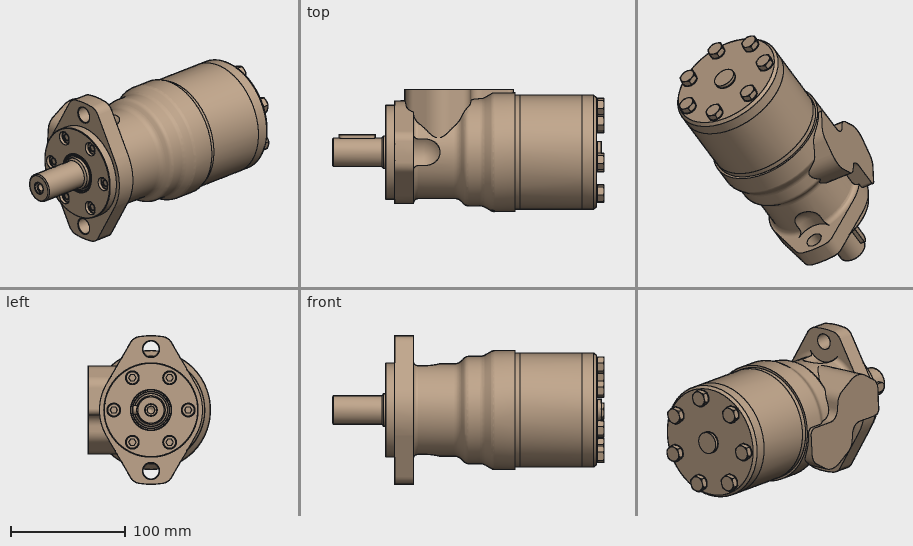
import cadquery as cq
import math


pilot_start = 46.5
flange_start = 54.4
flange_end = 70.8
neck_end = 106.8
housing_end = 159.6
plate_end = 164.0
gear_ring_end = 218.0
cover_end = 230.7
overall_length = 237.2

shaft_diameter = 25.0
shaft_tip_chamfer = 1.0
journal_diameter = 28.56
journal_cone_start = 43.2
journal_start = 44.6
shaft_end = flange_end
center_bore_diameter = 10.0
center_bore_chamfer = 0.5
center_bore_depth = 2.5
thread_hole_diameter = 6.65
thread_hole_depth = 20.0
drill_point_angle = 120.0
key_start = 5.6
key_length = 32.0
key_width = 8.0
key_height = 7.0
key_top = 15.5

pilot_diameter = 82.5
pilot_chamfer = 0.5
flange_radius = 45.0
flange_tip_radius = 65.0
flange_side_angle = 30.0
flange_corner_radius = 11.0
mount_hole_diameter = 14.0
mount_hole_chamfer = 0.5
mount_hole_offset = 53.2
bolt_clearance_radius = 18.5
bolt_clearance_end = 80.5

recess_diameter = 35.0
recess_chamfer = 0.5
recess_depth = 2.0
lip_outer_diameter = 32.6
lip_bore_diameter = 29.0
lip_height = 1.0
lip_chamfer = 0.4

front_screw_count = 6
front_screw_circle_radius = 32.5
screw_bore_diameter = 12.0
screw_head_sink = 2.5
screw_head_diameter = 10.5
screw_head_height = 1.0
socket_across_flats = 5.5
socket_depth = 0.8

neck_radius = 40.5
neck_fillet = 4.3
shoulder_radius = 47.0
shoulder_slope = 45.0
shoulder_flat_end = 129.2
barrel_radius = 52.0
barrel_slope = 30.0
valley_radius = 8.0
crest_radius = 6.0

port_face = 55.0
port_center_x = 110.55
lobe_center_x = 92.5
lobe_top = 38.5
lobe_top_radius = 20.0
lobe_roof_slope = 30.0
lobe_half_width = 29.6
flank_tilt = 4.3
ledge_height = 4.5
lobe_shoulder_radius = 12.0
ledge_fillet = 10.0
ledge_corner_radius = 5.0

gear_set_diameter = 100.0
cover_chamfer_length = 2.8
cover_chamfer_depth = 2.2
rear_bolt_count = 7
rear_bolt_circle_radius = 40.0
rear_bolt_start_angle = 50.0
bolt_across_flats = 13.0
bolt_washer_height = 0.9
bolt_hex_turn = -15.0
bolt_chamfer_angle = 30.0
plug_diameter = 19.0
plug_neck_diameter = 18.0
plug_neck_height = 0.9
plug_height = 4.2


def rod(diameter, start, end):
    """A cylinder on the shaft axis between two stations."""
    return cq.Workplane("YZ", origin=(start, 0, 0)).circle(diameter / 2).extrude(end - start)


def cone(start_radius, end_radius, start, end):
    """A full cone or cone frustum on the shaft axis."""
    profile = cq.Workplane("XY").moveTo(start, 0).lineTo(start, start_radius)
    if end_radius > 0:
        profile = profile.lineTo(end, end_radius)
    profile = profile.lineTo(end, 0).close()
    return profile.revolve(360, (0, 0, 0), (1, 0, 0))


def polar_spots(count, radius, start_angle):
    """Evenly spaced (Y, Z) places on a circle round the shaft axis."""
    angles = [math.radians(start_angle + i * 360 / count) for i in range(count)]
    return [(radius * math.cos(a), radius * math.sin(a)) for a in angles]


def round_edge_at(body, point, radius):
    """Fillet the edge whose middle lies nearest a point."""
    return body.edges(cq.selectors.NearestToPointSelector(point)).fillet(radius)


def chamfered_hole(diameter, start, end, chamfer):
    """Cutter for a hole on the shaft axis, chamfered at its start."""
    radius = diameter / 2
    return rod(diameter, start, end).union(cone(radius + chamfer, radius, start, start + chamfer))


def make_key():
    key = cq.Workplane("XZ", origin=(key_start + key_length / 2, key_top, 0))
    return key.slot2D(key_length, key_width).extrude(key_height)


def make_shaft(key):
    shaft = rod(shaft_diameter, 0, journal_cone_start).faces("<X").chamfer(shaft_tip_chamfer)
    journal_cone = cone(shaft_diameter / 2, journal_diameter / 2, journal_cone_start, journal_start)
    shaft = shaft.union(journal_cone).union(rod(journal_diameter, journal_start, shaft_end))

    thread_radius = thread_hole_diameter / 2
    drill_point = thread_radius / math.tan(math.radians(drill_point_angle / 2))
    shaft = shaft.cut(chamfered_hole(center_bore_diameter, 0, center_bore_depth, center_bore_chamfer))
    shaft = shaft.cut(rod(thread_hole_diameter, 0, thread_hole_depth))
    shaft = shaft.cut(cone(thread_radius, 0, thread_hole_depth, thread_hole_depth + drill_point))
    return shaft.cut(key)


def make_flange():
    """Two-bolt flange: straight sides run tangent from the middle circle to a larger tip circle."""
    side = math.radians(flange_side_angle)
    sides_y = flange_radius * math.cos(side)
    sides_z = flange_radius * math.sin(side)
    reach = math.sqrt(flange_tip_radius**2 - flange_radius**2)
    corner_y = sides_y - reach * math.sin(side)
    corner_z = sides_z + reach * math.cos(side)
    plate = (
        cq.Workplane("YZ", origin=(flange_start, 0, 0))
        .moveTo(sides_y, -sides_z)
        .threePointArc((flange_radius, 0), (sides_y, sides_z))
        .lineTo(corner_y, corner_z)
        .threePointArc((0, flange_tip_radius), (-corner_y, corner_z))
        .lineTo(-sides_y, sides_z)
        .threePointArc((-flange_radius, 0), (-sides_y, -sides_z))
        .lineTo(-corner_y, -corner_z)
        .threePointArc((0, -flange_tip_radius), (corner_y, -corner_z))
        .close()
        .extrude(flange_end - flange_start)
    )
    middle_x = (flange_start + flange_end) / 2
    for y in (corner_y, -corner_y):
        for z in (corner_z, -corner_z):
            plate = round_edge_at(plate, (middle_x, y, z), flange_corner_radius)

    hole = chamfered_hole(mount_hole_diameter, flange_start, flange_end, mount_hole_chamfer)
    for z in (mount_hole_offset, -mount_hole_offset):
        plate = plate.cut(hole.translate((0, 0, z)))
    return plate


def add_step(profile, start, low, high, slope_angle):
    """Continue a profile up an S-shaped step: valley arc, straight slope, crest arc."""
    slope = math.radians(slope_angle)
    half = slope / 2
    rise = high - low - (valley_radius + crest_radius) * (1 - math.cos(slope))
    valley_x = start + valley_radius * math.sin(slope)
    valley_y = low + valley_radius * (1 - math.cos(slope))
    crest_x = valley_x + rise / math.tan(slope)
    crest_y = valley_y + rise
    end = crest_x + crest_radius * math.sin(slope)
    valley_mid = (start + valley_radius * math.sin(half), low + valley_radius * (1 - math.cos(half)))
    crest_mid = (end - crest_radius * math.sin(half), high - crest_radius * (1 - math.cos(half)))
    return (
        profile.threePointArc(valley_mid, (valley_x, valley_y))
        .lineTo(crest_x, crest_y)
        .threePointArc(crest_mid, (end, high))
    )


def make_barrel():
    """The turned part of the housing, from the flange back to the rear plate."""
    fillet_inset = neck_fillet * (1 - math.sqrt(0.5))
    profile = (
        cq.Workplane("XY")
        .moveTo(flange_start, 0)
        .lineTo(flange_start, neck_radius)
        .lineTo(flange_end, neck_radius)
        .lineTo(flange_end, neck_radius + neck_fillet)
        .threePointArc(
            (flange_end + fillet_inset, neck_radius + fillet_inset),
            (flange_end + neck_fillet, neck_radius),
        )
        .lineTo(neck_end, neck_radius)
    )
    profile = add_step(profile, neck_end, neck_radius, shoulder_radius, shoulder_slope)
    profile = profile.lineTo(shoulder_flat_end, shoulder_radius)
    profile = add_step(profile, shoulder_flat_end, shoulder_radius, barrel_radius, barrel_slope)
    profile = profile.lineTo(housing_end, barrel_radius).lineTo(housing_end, 0).close()
    return profile.revolve(360, (0, 0, 0), (1, 0, 0))


def make_port_block():
    """Prism with the same outline after a half turn about its middle; X runs from that middle."""
    roof = math.tan(math.radians(lobe_roof_slope))
    tilt = math.tan(math.radians(flank_tilt))
    lobe_x = lobe_center_x - port_center_x
    peak = lobe_top + lobe_top_radius * (1 / math.cos(math.radians(lobe_roof_slope)) - 1)

    eave_height = (peak - lobe_half_width * roof) / (1 - tilt * roof)
    eave_half_width = lobe_half_width - eave_height * tilt
    half_outline = [
        (lobe_x - lobe_half_width, -ledge_height),
        (lobe_x - lobe_half_width, 0),
        (lobe_x - eave_half_width, eave_height),
        (lobe_x, peak),
        (lobe_x + eave_half_width, eave_height),
        (lobe_x + lobe_half_width - ledge_height * tilt, ledge_height),
    ]
    corner_radii = [
        ledge_corner_radius,
        None,
        lobe_shoulder_radius,
        lobe_top_radius,
        lobe_shoulder_radius,
        ledge_fillet,
    ]
    outline = half_outline + [(-x, -z) for x, z in half_outline]
    block = cq.Workplane("XZ", origin=(port_center_x, port_face, 0))
    block = block.polyline(outline).close().extrude(port_face)
    for (x, z), radius in zip(outline, corner_radii * 2):
        if radius:
            block = round_edge_at(block, (port_center_x + x, port_face / 2, z), radius)
    return block


def make_bolt_clearance(z):
    """Round-ended clearance scooped from the neck behind one mounting hole."""
    scoop = rod(2 * bolt_clearance_radius, flange_end, bolt_clearance_end).translate((0, 0, z))
    return scoop.union(cq.Workplane("XY", origin=(bolt_clearance_end, 0, z)).sphere(bolt_clearance_radius))


def cut_seal_recess(housing):
    """Shaft bore with a recess in the pilot face and a raised lip clear of the shaft."""
    recess_floor = pilot_start + recess_depth
    lip_face = recess_floor - lip_height
    recess = chamfered_hole(recess_diameter, pilot_start, recess_floor, recess_chamfer)
    lip = rod(lip_outer_diameter, lip_face, recess_floor).faces("<X").chamfer(lip_chamfer)
    lip = lip.cut(rod(lip_bore_diameter, lip_face, recess_floor))
    return housing.cut(rod(journal_diameter, pilot_start, shaft_end)).cut(recess.cut(lip))


def add_front_screws(housing):
    """Sunk socket-head screws in the pilot face."""
    head_face = pilot_start + screw_head_sink
    bore_floor = head_face + screw_head_height
    bore = rod(screw_bore_diameter, pilot_start, bore_floor)
    head = rod(screw_head_diameter, head_face, bore_floor)
    socket = (
        cq.Workplane("YZ", origin=(head_face, 0, 0))
        .polygon(6, socket_across_flats / math.cos(math.pi / 6))
        .extrude(socket_depth)
    )
    for y, z in polar_spots(front_screw_count, front_screw_circle_radius, 0):
        housing = housing.cut(bore.translate((0, y, z)))
        housing = housing.union(head.translate((0, y, z)))
        housing = housing.cut(socket.translate((0, y, z)))
    return housing


def make_housing():
    pilot = rod(pilot_diameter, pilot_start, flange_start).faces("<X").chamfer(pilot_chamfer)
    housing = make_barrel().union(make_port_block())
    for z in (mount_hole_offset, -mount_hole_offset):
        housing = housing.cut(make_bolt_clearance(z))
    housing = housing.union(make_flange()).union(pilot)
    return add_front_screws(cut_seal_recess(housing))


def make_bolt_head():
    """Hex head with a round washer face, on the shaft axis behind the end cover."""
    hex_start = cover_end + bolt_washer_height
    corner_diameter = bolt_across_flats / math.cos(math.pi / 6)
    hexagon = (
        cq.Workplane("YZ", origin=(hex_start, 0, 0))
        .polygon(6, corner_diameter)
        .extrude(overall_length - hex_start)
        .rotate((0, 0, 0), (1, 0, 0), bolt_hex_turn)
    )
    chamfer_depth = (corner_diameter - bolt_across_flats) / 2
    chamfer_length = chamfer_depth * math.tan(math.radians(bolt_chamfer_angle))
    blank = rod(corner_diameter, hex_start, overall_length)
    blank = blank.faces(">X").chamfer(chamfer_length, chamfer_depth)
    return hexagon.intersect(blank).union(rod(bolt_across_flats, cover_end, hex_start))


def make_end_cover():
    cover = rod(gear_set_diameter, gear_ring_end, cover_end - cover_chamfer_length)
    rim_radius = gear_set_diameter / 2
    rim = cone(rim_radius, rim_radius - cover_chamfer_depth, cover_end - cover_chamfer_length, cover_end)
    cover = cover.union(rim)

    head = make_bolt_head()
    for y, z in polar_spots(rear_bolt_count, rear_bolt_circle_radius, rear_bolt_start_angle):
        cover = cover.union(head.translate((0, y, z)))

    plug_neck = rod(plug_neck_diameter, cover_end, cover_end + plug_neck_height)
    plug = rod(plug_diameter, cover_end + plug_neck_height, cover_end + plug_height)
    return cover.union(plug_neck).union(plug)


key = make_key()
shaft = make_shaft(key)
housing = make_housing()
spacer_plate = rod(gear_set_diameter, housing_end, plate_end)
gear_ring = rod(gear_set_diameter, plate_end, gear_ring_end)
end_cover = make_end_cover()

result = cq.Compound.makeCompound(
    [housing.val(), shaft.val(), key.val(), spacer_plate.val(), gear_ring.val(), end_cover.val()]
)